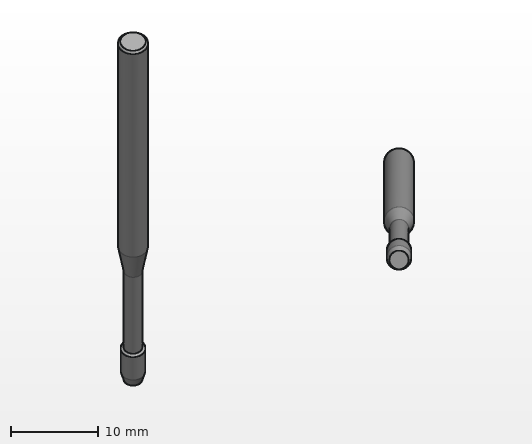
import cadquery as cq

total_length = 56.0
neck_diameter = 2.2

head_diameter = 2.85
head_length = 5.3
shoulder_drop = 0.2
tip_diameter = neck_diameter
tip_length = 1.35

taper_bottom = 18.05
taper_top = 22.05
shank_diameter = 3.5
shank_chamfer = 0.3


def revolve_profile(points):
    """Revolve a closed (radius, height) outline around the Z axis."""
    return cq.Workplane("XZ").polyline(points).close().revolve(360, (0, 0), (0, 1))


def make_cutting_head():
    """Cylinder with a tapered tip and a shallow conical shoulder that meets the neck."""
    head_radius = head_diameter / 2
    return revolve_profile([
        (0, 0),
        (tip_diameter / 2, 0),
        (head_radius, tip_length),
        (head_radius, head_length - shoulder_drop),
        (neck_diameter / 2, head_length),
        (0, head_length),
    ])


def make_holder():
    """Thin neck that widens through a cone into a shank with a chamfered end."""
    neck_radius = neck_diameter / 2
    shank_radius = shank_diameter / 2
    return revolve_profile([
        (0, head_length),
        (neck_radius, head_length),
        (neck_radius, taper_bottom),
        (shank_radius, taper_top),
        (shank_radius, total_length - shank_chamfer),
        (shank_radius - shank_chamfer, total_length),
        (0, total_length),
    ])


cutting_head = make_cutting_head()
holder = make_holder()

result = cq.Compound.makeCompound([cutting_head.val(), holder.val()])